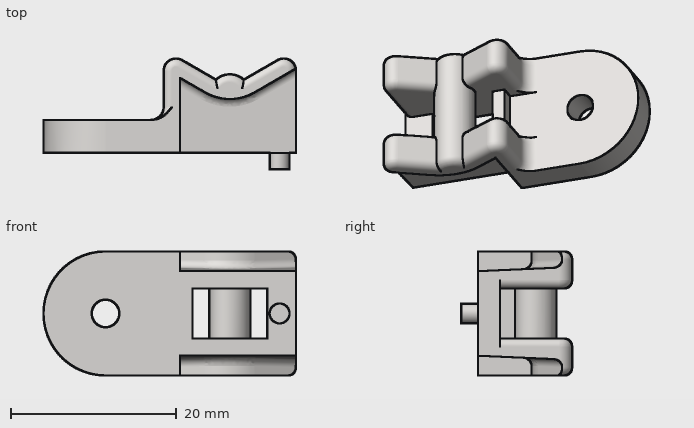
import cadquery as cq
import math


width = 15.0
half_width = width / 2
plate_thickness = 4.0
pivot_diameter = 3.3

saddle_left = 7.0
saddle_right = 23.0
saddle_middle = (saddle_left + saddle_right) / 2
saddle_top = 11.4
tip_radius = 1.5
vee_slope = math.radians(30)
edge_round = 1.0
foot_radius = 1.5

gap_width = 6.0
half_gap = gap_width / 2
window_left = 10.5
window_right = 19.5
window_end_floor = 2.7
window_wall_height = 6.0

rod_radius = 2.5
rod_height = 7.0

core_left = 9.0
core_half_width = 5.1
core_draft = math.radians(2.5)
flange_thickness = 2.0
underside_radius = 6.0
underside_fillet = 1.0

pin_diameter = 2.4
pin_length = 2.0
pin_x = 21.0

tip_centre_y = saddle_top - tip_radius
tip_offset = saddle_middle - saddle_left - tip_radius
vee_bottom = tip_centre_y + tip_radius / math.cos(vee_slope) - tip_offset * math.tan(vee_slope)
underside_bottom = vee_bottom - flange_thickness / math.cos(vee_slope)

clearance = 2.0


def box(x0, x1, y0, y1, z0, z1):
    """Axis-aligned box between two opposite corners."""
    return cq.Workplane("XY").box(x1 - x0, y1 - y0, z1 - z0, centered=False).translate((x0, y0, z0))


def make_plate():
    """Flat lever with a round, drilled pivot end, running under the saddle up to the core."""
    round_end = cq.Workplane("XZ").circle(half_width).extrude(-plate_thickness)
    straight = box(0, core_left, 0, plate_thickness, -half_width, half_width)
    pivot_hole = cq.Workplane("XZ").circle(pivot_diameter / 2).extrude(-plate_thickness)
    return round_end.union(straight).cut(pivot_hole)


def make_pad():
    """Upper-Z pad with a vee top, rounded tips and rounded side edges."""
    tip_run = tip_radius * math.sin(vee_slope)
    tip_rise = tip_radius * math.cos(vee_slope)
    left_centre = saddle_left + tip_radius
    right_centre = saddle_right - tip_radius
    vee_normal_angle = math.pi / 2 - vee_slope
    arc_angle = (math.pi + vee_normal_angle) / 2
    mid_run = tip_radius * math.cos(arc_angle)
    mid_rise = tip_radius * math.sin(arc_angle)
    pad = (
        cq.Workplane("XY", origin=(0, 0, half_gap))
        .moveTo(saddle_left, 0)
        .lineTo(saddle_left, tip_centre_y)
        .threePointArc(
            (left_centre + mid_run, tip_centre_y + mid_rise),
            (left_centre + tip_run, tip_centre_y + tip_rise),
        )
        .lineTo(saddle_middle, vee_bottom)
        .lineTo(right_centre - tip_run, tip_centre_y + tip_rise)
        .threePointArc(
            (right_centre - mid_run, tip_centre_y + mid_rise),
            (saddle_right, tip_centre_y),
        )
        .lineTo(saddle_right, 0)
        .close()
        .extrude(half_width - half_gap)
    )
    return pad.faces("<Z or >Z").edges("not <Y").fillet(edge_round)


def make_foot():
    """Concave fillet where the rounded left end of the upper-Z pad meets the plate."""
    post_x = saddle_left + edge_round
    reach = edge_round + foot_radius
    foot_top = plate_thickness + foot_radius
    arc_shift = foot_radius * math.sqrt(0.5)

    def section(z):
        return (
            cq.Workplane("XY", origin=(post_x, plate_thickness, z))
            .lineTo(-reach, 0)
            .threePointArc((-reach + arc_shift, foot_radius - arc_shift), (-edge_round, foot_radius))
            .lineTo(0, foot_radius)
            .close()
        )

    low_z = half_gap + edge_round
    high_z = half_width - edge_round
    foot = section(low_z).extrude(high_z - low_z)
    for z in (low_z, high_z):
        foot = foot.union(section(z).revolve(360, (0, 0), (0, 1)))
    pad_slice = box(0, saddle_right, 0, foot_top, half_gap, half_width)
    return foot.intersect(pad_slice)


def make_core():
    """Material joining the pads: a low floor plus a taller wall left of the window, with the window cut."""
    overlap = half_gap + edge_round
    floor = box(core_left, saddle_right, 0, window_end_floor, -overlap, overlap)
    wall = box(core_left, window_left, 0, window_wall_height, -overlap, overlap)
    window = box(window_left, window_right, -clearance, saddle_top, -half_gap, half_gap)
    return floor.union(wall).cut(window)


def make_rod():
    """Cross rod spanning both pads, with rounded ends."""
    lower_end = cq.Workplane("XY", origin=(saddle_middle, rod_height, -half_width))
    rod = lower_end.circle(rod_radius).extrude(width)
    return rod.edges().fillet(edge_round)


def make_undercut():
    """Space below the upper-Z flange, outside the drafted core side."""
    far_x = saddle_right + clearance
    far_y = underside_bottom + (far_x - saddle_middle) * math.tan(vee_slope)
    left_y = underside_bottom + (saddle_middle - core_left) * math.tan(vee_slope)
    arc_half = underside_radius * math.sin(vee_slope)
    arc_end_y = underside_bottom + arc_half * math.tan(vee_slope)
    arc_low_y = arc_end_y - underside_radius * (1 - math.cos(vee_slope))
    below_flange = (
        cq.Workplane("XY")
        .moveTo(core_left, -clearance)
        .lineTo(core_left, left_y)
        .lineTo(saddle_middle - arc_half, arc_end_y)
        .threePointArc((saddle_middle, arc_low_y), (saddle_middle + arc_half, arc_end_y))
        .lineTo(far_x, far_y)
        .lineTo(far_x, -clearance)
        .close()
        .extrude(half_width + clearance)
    )
    low_z = core_half_width - clearance * math.tan(core_draft)
    high_z = core_half_width + far_y * math.tan(core_draft)
    core_side = (
        cq.Workplane("YZ")
        .polyline([(-clearance, -clearance), (-clearance, low_z), (far_y, high_z), (far_y, -clearance)])
        .close()
        .extrude(far_x)
    )
    side_space = below_flange.cut(core_side)
    upper_inner_edges = side_space.faces("<Z").edges("not(<X or >X or <Y)")
    return upper_inner_edges.fillet(underside_fillet)


def make_pin():
    """Locating pin standing on the back face."""
    return cq.Workplane("XZ", origin=(pin_x, 0, 0)).circle(pin_diameter / 2).extrude(pin_length)


def both_sides(upper):
    """The upper-Z body together with its mirror image."""
    return upper.union(upper.mirror("XY"))


result = make_plate()
result = result.union(both_sides(make_pad().union(make_foot())))
result = result.union(make_core()).union(make_rod())
result = result.cut(both_sides(make_undercut()))
result = result.union(make_pin())